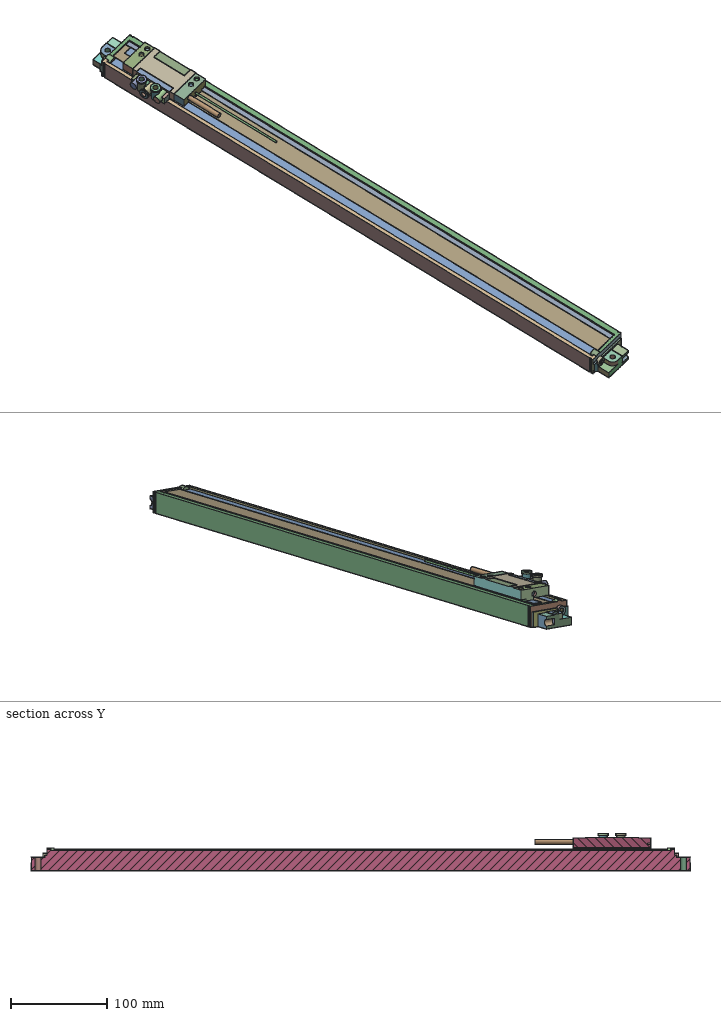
import cadquery as cq


TOTAL_LENGTH = 684.0
RAIL_WIDTH = 47.0
RAIL_HEIGHT = 22.5
FRONT_LEDGE = 4.0
BACK_LEDGE = 6.0
CHANNEL_DEPTH = 2.0
STRIP_FRONT = 14.5
STRIP_WIDTH = 20.5
STRIP_HEIGHT = 1.0

FOOT_END = 14.5
BACKING_THICKNESS = 2.0
BACKING_WIDTH = 45.0
BACKING_HEIGHT = 16.5
BACKING_CHAMFER = 5.5
CAP_THICKNESS = 2.0
GASKET_THICKNESS = 2.0
GASKET_INSET = 1.0
FOOT_FRONT = 6.0
FOOT_BACK = 39.0
FOOT_BASE_HEIGHT = 8.0
LUG_HEIGHT = 14.5
LUG_FRONT = 14.5
LUG_BACK = 29.0
BACK_PAD_DROP = 1.0
FOOT_HOLE_DIAMETER = 5.5
GROOVE_RADIUS = 3.5
GROOVE_CENTER_Z = 7.0
SCREW_Y = 9.5
SCREW_Z = 14.0
SCREW_HEAD_RADIUS = 5.0
SCREW_HEAD_START = 12.0
SCREW_SOCKET_RADIUS = 2.4
SCREW_SOCKET_DEPTH = 1.5
BULGE_RADIUS = 5.0
BULGE_RISE = 1.5
BULGE_LENGTH = 7.5

HEAD_START = 41.0
HEAD_LENGTH = 81.0
HEAD_FRONT = 4.0
HEAD_BACK = 41.0
HEAD_BOTTOM = 24.0
HEAD_TOP = 35.0
END_BLOCK_LENGTH = 13.0
END_BLOCK_DROP = 1.0
END_BLOCK_SETBACK = 1.0
BLOCK_SCREW_OFFSET = 7.5
BLOCK_SCREW_YS = (26.0, 35.5)
BLOCK_SCREW_RADIUS = 3.0
BLOCK_SCREW_DEPTH = 3.0
PANEL_LENGTH = 40.5
PANEL_WIDTH = 10.0
PANEL_DEPTH = 1.0
SHOE_START = 27.5
SHOE_FRONT = 24.5
SHOE_THICKNESS = 1.0

BRACKET_LENGTH = 44.0
SHELF_BACK = 10.0
SHELF_DEPTH = 1.0
BRACKET_FRONT = -5.0
BRACKET_BOTTOM = 23.0
BRACKET_TOP = 31.5
BUSH_SPACING = 18.5
BUSH_Y = -3.5
BUSH_TOP = 39.0
FLANGE_DIAMETER = 11.0
FLANGE_THICKNESS = 2.0
BUSH_DIAMETER = 9.0
BUSH_BORE = 5.5
CENTER_BUSH_FRONT = -11.5
CENTER_BUSH_Z = 29.0
CENTER_BORE_DEPTH = 7.0
SIDE_BUSH_SPACING = 31.0
SIDE_BUSH_FRONT = -9.5
SIDE_BUSH_DIAMETER = 8.0
ROD_DIAMETER = 2.0
ROD_END = 229.0
ROD_Y = 24.0
ROD_Z = 28.0
PORT_DIAMETER = 5.5
PORT_DEPTH = 3.5
CABLE_DIAMETER = 5.5
CABLE_END = 161.5
CABLE_Y = 14.0
CABLE_Z = 30.0

CAP_START = FOOT_END + BACKING_THICKNESS
GASKET_START = CAP_START + CAP_THICKNESS
RAIL_START = GASKET_START + GASKET_THICKNESS
CHANNEL_BACK = RAIL_WIDTH - BACK_LEDGE
CHANNEL_FLOOR = RAIL_HEIGHT - CHANNEL_DEPTH
STRIP_TOP = CHANNEL_FLOOR + STRIP_HEIGHT
LUG_RADIUS = (LUG_BACK - LUG_FRONT) / 2
HEAD_END = HEAD_START + HEAD_LENGTH
HEAD_CENTER = (HEAD_START + HEAD_END) / 2


def block(x0, x1, y0, y1, z0, z1):
    """Box between two opposite corners."""
    return cq.Workplane("XY").box(x1 - x0, y1 - y0, z1 - z0, centered=False).translate((x0, y0, z0))


def rod_x(x0, x1, y, z, radius):
    """Cylinder along X."""
    return cq.Workplane("YZ", origin=(x0, y, z)).circle(radius).extrude(x1 - x0)


def rod_y(y0, y1, x, z, radius):
    """Cylinder along Y."""
    return cq.Workplane("XZ", origin=(x, y0, z)).circle(radius).extrude(y0 - y1)


def rod_z(z0, z1, x, y, radius):
    """Cylinder along Z."""
    return cq.Workplane("XY", origin=(x, y, z0)).circle(radius).extrude(z1 - z0)


def make_rail():
    """Long extrusion with a shallow channel and a raised strip along its top."""
    rail_end = TOTAL_LENGTH - RAIL_START
    rail = block(RAIL_START, rail_end, 0, RAIL_WIDTH, 0, RAIL_HEIGHT)
    channel = block(RAIL_START, rail_end, FRONT_LEDGE, CHANNEL_BACK, CHANNEL_FLOOR, RAIL_HEIGHT)
    strip = block(RAIL_START, rail_end, STRIP_FRONT, STRIP_FRONT + STRIP_WIDTH, CHANNEL_FLOOR, STRIP_TOP)
    return rail.cut(channel).union(strip)


def make_foot():
    """Left mounting foot: stepped, with a rounded lug, a vertical hole and a grooved end."""
    base = block(0, FOOT_END, FOOT_FRONT, FOOT_BACK, 0, FOOT_BASE_HEIGHT)
    lug = block(0, FOOT_END, LUG_FRONT, LUG_BACK, 0, LUG_HEIGHT)
    lug = lug.edges("|Z and <X and <Y").fillet(LUG_RADIUS)
    pad = block(0, FOOT_END, LUG_BACK, FOOT_BACK, 0, LUG_HEIGHT - BACK_PAD_DROP)
    hole = rod_z(0, LUG_HEIGHT, LUG_RADIUS, LUG_FRONT + LUG_RADIUS, FOOT_HOLE_DIAMETER / 2)
    groove = rod_y(LUG_BACK, FOOT_BACK, 0, GROOVE_CENTER_Z, GROOVE_RADIUS)
    return base.union(lug).union(pad).cut(hole).cut(groove)


def make_end():
    """Left end of the housing: foot, backing plate, cap, gasket and clamp screw head."""
    backing = block(FOOT_END, CAP_START, 0, BACKING_WIDTH, 0, BACKING_HEIGHT)
    backing = backing.edges("|X and <Y and <Z").chamfer(BACKING_CHAMFER)
    cap = block(CAP_START, GASKET_START, 0, RAIL_WIDTH, 0, RAIL_HEIGHT)
    gasket = block(GASKET_START, RAIL_START, GASKET_INSET, RAIL_WIDTH - GASKET_INSET, 0, RAIL_HEIGHT)
    bulge_z = RAIL_HEIGHT + BULGE_RISE - BULGE_RADIUS
    bulge = rod_x(CAP_START, CAP_START + BULGE_LENGTH, SCREW_Y, bulge_z, BULGE_RADIUS)
    screw = rod_x(SCREW_HEAD_START, CAP_START, SCREW_Y, SCREW_Z, SCREW_HEAD_RADIUS)
    socket_end = SCREW_HEAD_START + SCREW_SOCKET_DEPTH
    socket = rod_x(SCREW_HEAD_START, socket_end, SCREW_Y, SCREW_Z, SCREW_SOCKET_RADIUS)
    end = make_foot().union(backing).union(cap).union(gasket).union(bulge)
    return end.union(screw).cut(socket)


def make_housing():
    """Rail with the end assembly at its left and the mirror image at its right."""
    left_end = make_end()
    right_end = left_end.mirror("YZ", (TOTAL_LENGTH / 2, 0, 0))
    return make_rail().union(left_end).union(right_end)


def make_head_block():
    """Main block with lower end blocks, screw recesses, two shallow top recesses and a rod port."""
    body = block(HEAD_START, HEAD_END, HEAD_FRONT, HEAD_BACK, HEAD_BOTTOM, HEAD_TOP)
    end_top = HEAD_TOP - END_BLOCK_DROP
    for start in (HEAD_START, HEAD_END - END_BLOCK_LENGTH):
        end = start + END_BLOCK_LENGTH
        front = HEAD_FRONT + END_BLOCK_SETBACK
        body = body.cut(block(start, end, HEAD_FRONT, HEAD_BACK, end_top, HEAD_TOP))
        body = body.cut(block(start, end, HEAD_FRONT, front, HEAD_BOTTOM, HEAD_TOP))
    for x in (HEAD_START + BLOCK_SCREW_OFFSET, HEAD_END - BLOCK_SCREW_OFFSET):
        for y in BLOCK_SCREW_YS:
            body = body.cut(rod_z(end_top - BLOCK_SCREW_DEPTH, end_top, x, y, BLOCK_SCREW_RADIUS))
    panel_x = HEAD_CENTER - PANEL_LENGTH / 2
    panel = block(
        panel_x, panel_x + PANEL_LENGTH, HEAD_BACK - PANEL_WIDTH, HEAD_BACK, HEAD_TOP - PANEL_DEPTH, HEAD_TOP
    )
    shelf_x = HEAD_CENTER - BRACKET_LENGTH / 2
    shelf = block(
        shelf_x, shelf_x + BRACKET_LENGTH, HEAD_FRONT, SHELF_BACK, HEAD_TOP - SHELF_DEPTH, HEAD_TOP
    )
    port = rod_x(HEAD_START, HEAD_START + PORT_DEPTH, ROD_Y, ROD_Z, PORT_DIAMETER / 2)
    return body.cut(panel).cut(shelf).cut(port)


def make_shoe():
    """Sliding shoe between the head and the strip, with a thin tongue ahead of the head."""
    shoe_back = STRIP_FRONT + STRIP_WIDTH
    tongue = block(SHOE_START, HEAD_START, SHOE_FRONT, shoe_back, STRIP_TOP, STRIP_TOP + SHOE_THICKNESS)
    pillar = block(HEAD_START, HEAD_END, SHOE_FRONT, shoe_back, STRIP_TOP, HEAD_BOTTOM)
    return tongue.union(pillar)


def make_bracket():
    """Bracket in front of the head with two upright, one central and two side bushes."""
    x0 = HEAD_CENTER - BRACKET_LENGTH / 2
    bracket = block(x0, x0 + BRACKET_LENGTH, BRACKET_FRONT, HEAD_FRONT, BRACKET_BOTTOM, BRACKET_TOP)
    center_flange_back = CENTER_BUSH_FRONT + FLANGE_THICKNESS
    center_flange = rod_y(
        CENTER_BUSH_FRONT, center_flange_back, HEAD_CENTER, CENTER_BUSH_Z, FLANGE_DIAMETER / 2
    )
    center_shank = rod_y(CENTER_BUSH_FRONT, HEAD_FRONT, HEAD_CENTER, CENTER_BUSH_Z, BUSH_DIAMETER / 2)
    bracket = bracket.union(center_flange).union(center_shank)
    for side in (-1, 1):
        side_x = HEAD_CENTER + side * SIDE_BUSH_SPACING / 2
        side_bush = rod_y(SIDE_BUSH_FRONT, HEAD_FRONT, side_x, CENTER_BUSH_Z, SIDE_BUSH_DIAMETER / 2)
        bracket = bracket.union(side_bush)
    for side in (-1, 1):
        bush_x = HEAD_CENTER + side * BUSH_SPACING / 2
        flange = rod_z(BUSH_TOP - FLANGE_THICKNESS, BUSH_TOP, bush_x, BUSH_Y, FLANGE_DIAMETER / 2)
        shank = rod_z(BRACKET_BOTTOM, BUSH_TOP, bush_x, BUSH_Y, BUSH_DIAMETER / 2)
        bore = rod_z(BRACKET_BOTTOM, BUSH_TOP, bush_x, BUSH_Y, BUSH_BORE / 2)
        bracket = bracket.union(flange).union(shank).cut(bore)
    bore_end = CENTER_BUSH_FRONT + CENTER_BORE_DEPTH
    return bracket.cut(rod_y(CENTER_BUSH_FRONT, bore_end, HEAD_CENTER, CENTER_BUSH_Z, BUSH_BORE / 2))


def make_reading_head():
    """Head block with its shoe, bracket, thin rod and cable."""
    rod = rod_x(HEAD_END, ROD_END, ROD_Y, ROD_Z, ROD_DIAMETER / 2)
    cable = rod_x(HEAD_END, CABLE_END, CABLE_Y, CABLE_Z, CABLE_DIAMETER / 2)
    return make_head_block().union(make_shoe()).union(make_bracket()).union(rod).union(cable)


housing = make_housing()
reading_head = make_reading_head()

result = cq.Compound.makeCompound([housing.solids().val(), reading_head.solids().val()])